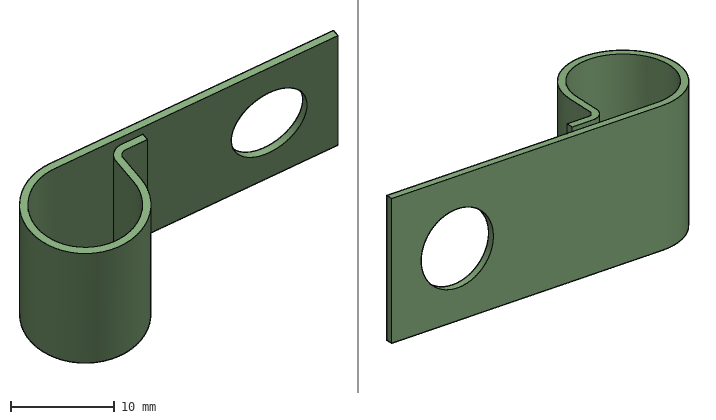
import cadquery as cq
import math

total_length = 38.87
strip_width = 15.9
loop_radius = 6.37
thickness = 0.8
tab_gap = 0.78
tab_height = 3.25
bend_inner_radius = 0.78
hole_diameter = 8.65
hole_end_distance = 7.9

inner_radius = loop_radius - thickness
leg_end_y = total_length - loop_radius
tab_end_y = loop_radius + tab_height
tab_x = -inner_radius + tab_gap
bend_outer_radius = bend_inner_radius + thickness
bend_x = tab_x + bend_outer_radius
bend_y = inner_radius + bend_outer_radius
diagonal = math.sqrt(0.5)


def bend_middle(radius):
    """Midpoint of the quarter bend between the loop and the tab."""
    return (bend_x - radius * diagonal, bend_y - radius * diagonal)


def loop_middle(radius):
    """Midpoint of the three-quarter loop."""
    return (radius * diagonal, -radius * diagonal)


def make_strip():
    """Long leg, loop, bend and short tab as one bent strip."""
    return (
        cq.Workplane("XY")
        .moveTo(-loop_radius, leg_end_y)
        .lineTo(-loop_radius, 0)
        .threePointArc(loop_middle(loop_radius), (0, loop_radius))
        .lineTo(bend_x, loop_radius)
        .threePointArc(bend_middle(bend_inner_radius), (tab_x + thickness, bend_y))
        .lineTo(tab_x + thickness, tab_end_y)
        .lineTo(tab_x, tab_end_y)
        .lineTo(tab_x, bend_y)
        .threePointArc(bend_middle(bend_outer_radius), (bend_x, inner_radius))
        .lineTo(0, inner_radius)
        .threePointArc(loop_middle(inner_radius), (-inner_radius, 0))
        .lineTo(-inner_radius, leg_end_y)
        .close()
        .extrude(strip_width / 2, both=True)
    )


def make_hole_cutter():
    """Cylinder along X that pierces the long leg only."""
    return (
        cq.Workplane("YZ", origin=(-loop_radius, 0, 0))
        .center(leg_end_y - hole_end_distance, 0)
        .circle(hole_diameter / 2)
        .extrude(thickness)
    )


result = make_strip().cut(make_hole_cutter())